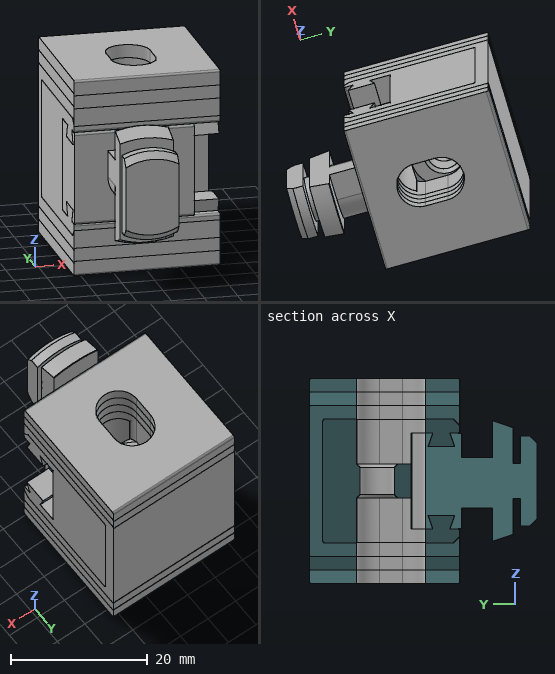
import cadquery as cq
import math

width = 22.0
half_width = width / 2
block_depth = 22.0
layer_thickness = 2.0
edge_radius = 0.3
core_half_height = 9.0
frame_half_height = core_half_height + layer_thickness
inner_plate_half_height = frame_half_height + layer_thickness
outer_plate_half_height = inner_plate_half_height + layer_thickness

core_depth = block_depth - layer_thickness
core_front_chamfer = 1.0
pocket_half_height = 7.0
pocket_depth = 7.1

key_height = 2.0
key_root_width = 2.6
key_tip_width = 4.0
key_center_y = 2.7

slot_width = 6.6
slot_length = 10.0
slot_center_y = 10.05
web_thickness = 5.0
thread_diameter = 4.92
thread_center_y = 12.08
countersink_diameter = 6.0
web_bevel_diameter = 9.9
web_bevel_height = 1.0
web_bevel_angle = math.radians(30)

slide_length = 18.0
slide_back_y = 7.0
slide_front_y = -0.3
pin_center_x = -half_width + slide_length / 2
pin_width = 8.0
flange_back_y = -4.75
flange_rim = 0.1
flange_front_y = -7.8
flange_half_height = 9.0
flange_arc_radius = 13.6
flange_taper = 1.0
neck_diameter = 6.6
head_back_y = -8.8
head_bevel_y = -10.3
head_front_y = -11.3
head_half_height = 6.8
head_arc_radius = 9.4
head_bevel = 1.0


def box(x_range, y_range, z_range):
    """Axis-aligned box between the given pairs of limits."""
    sizes = [high - low for low, high in (x_range, y_range, z_range)]
    return cq.Workplane("XY").box(*sizes, centered=False).translate((x_range[0], y_range[0], z_range[0]))


def full_width_prism(points):
    """Prism along X over the whole block width, from an outline of (y, z) points."""
    return cq.Workplane("YZ", origin=(-half_width, 0, 0)).polyline(points).close().extrude(width)


def rounded_block(half_height):
    """Full-depth block with its four long edges rounded."""
    block = box((-half_width, half_width), (0, block_depth), (-half_height, half_height))
    return block.edges("|X").fillet(edge_radius)


def slot_prism(bottom_z, top_z):
    """Upright prism with the outline of the screw slot."""
    plane = cq.Workplane("XY", origin=(0, slot_center_y, bottom_z))
    return plane.slot2D(slot_length, slot_width, angle=90).extrude(top_z - bottom_z)


def core_envelope():
    """Outside of the core: chamfered at the front, rounded at the back."""
    block = box((-half_width, half_width), (0, core_depth), (-core_half_height, core_half_height))
    block = block.edges("|X and >Y").fillet(edge_radius)
    return block.edges("|X and <Y").chamfer(core_front_chamfer)


def dovetail_key():
    """Upper key, narrow at the pocket wall and wide at its tip."""
    tip_z = pocket_half_height - key_height
    return full_width_prism([
        (key_center_y - key_root_width / 2, pocket_half_height),
        (key_center_y + key_root_width / 2, pocket_half_height),
        (key_center_y + key_tip_width / 2, tip_z),
        (key_center_y - key_tip_width / 2, tip_z),
    ])


def dovetail_keys():
    """Upper key and its mirror image below."""
    upper = dovetail_key()
    return [upper, upper.mirror("XY")]


def plate_pair(outer_half_height, inner_half_height):
    """Two plates, above and below, seated on the rounded block they cover."""
    pair = rounded_block(outer_half_height).cut(rounded_block(inner_half_height))
    return pair.cut(screw_slot)


def thread_cutter():
    """Threaded hole through the web, with a 45 degree countersink at both ends."""
    bore_radius = thread_diameter / 2
    sink_radius = countersink_diameter / 2
    half_web = web_thickness / 2
    straight_end = half_web - (sink_radius - bore_radius)
    profile = [
        (0, -half_web),
        (sink_radius, -half_web),
        (bore_radius, -straight_end),
        (bore_radius, straight_end),
        (sink_radius, half_web),
        (0, half_web),
    ]
    cutter = cq.Workplane("XZ").polyline(profile).close().revolve(360, (0, 0), (0, 1))
    return cutter.translate((0, thread_center_y, 0))


def web_bevel_cutter():
    """Conical bevel on top of the web, around the threaded hole and inside the slot."""
    top_z = web_thickness / 2
    bevel_radius = web_bevel_diameter / 2
    cone_radius = bevel_radius + web_bevel_height / math.tan(web_bevel_angle)
    profile = [
        (0, top_z - web_bevel_height),
        (cone_radius, top_z - web_bevel_height),
        (bevel_radius, top_z),
        (0, top_z),
    ]
    cone = cq.Workplane("XZ").polyline(profile).close().revolve(360, (0, 0), (0, 1))
    cone = cone.translate((0, thread_center_y, 0))
    return slot_prism(top_z - web_bevel_height, top_z).cut(cone)


def make_core():
    """Core with the slide pocket, dovetail keys and threaded web."""
    pocket_z = (-pocket_half_height, pocket_half_height)
    core = core_envelope().cut(box((-half_width, half_width), (0, pocket_depth), pocket_z))
    lip_corners = cq.selectors.BoxSelector(
        (-width, -edge_radius, -pocket_half_height - edge_radius),
        (width, edge_radius, pocket_half_height + edge_radius),
    )
    core = core.edges("|X").edges(lip_corners).fillet(edge_radius)
    for key in dovetail_keys():
        core = core.union(key)
    slot_above_web = slot_prism(web_thickness / 2, core_half_height)
    bevel = web_bevel_cutter()
    for cutter in (slot_above_web, bevel):
        core = core.cut(cutter).cut(cutter.mirror("XY"))
    return core.cut(thread_cutter())


def lens(back_y, half_height, arc_radius):
    """Pin outline: straight sides and arched top and bottom, in the plane y = back_y."""
    half_pin = pin_width / 2
    side_z = half_height - arc_radius + math.sqrt(arc_radius**2 - half_pin**2)
    plane = cq.Workplane("XZ", origin=(pin_center_x, back_y, 0))
    outline = plane.moveTo(-half_pin, -side_z).lineTo(-half_pin, side_z)
    outline = outline.threePointArc((0, half_height), (half_pin, side_z)).lineTo(half_pin, -side_z)
    return outline.threePointArc((0, -half_height), (-half_pin, -side_z)).close()


def lens_disc(back_y, front_y, half_height, arc_radius):
    """Straight disc with the pin outline."""
    return lens(back_y, half_height, arc_radius).extrude(back_y - front_y)


def lens_taper(back_y, front_y, half_height, arc_radius, inset):
    """Lens disc whose arched faces come in by the inset towards the front."""
    back = lens(back_y, half_height, arc_radius).wires().val()
    front = lens(front_y, half_height - inset, arc_radius - inset).wires().val()
    return cq.Workplane(cq.Solid.makeLoft([back, front], True))


def pin_cylinder(diameter, back_y, front_y):
    plane = cq.Workplane("XZ", origin=(pin_center_x, back_y, 0))
    return plane.circle(diameter / 2).extrude(back_y - front_y)


def make_shank():
    """Round shank with two square corners, opposite each other, that stop the quarter turn."""
    half_pin = pin_width / 2
    y_range = (flange_back_y, slide_front_y)
    upper_corner = box((pin_center_x - half_pin, pin_center_x), y_range, (0, half_pin))
    lower_corner = box((pin_center_x, pin_center_x + half_pin), y_range, (-half_pin, 0))
    return pin_cylinder(pin_width, slide_front_y, flange_back_y).union(upper_corner).union(lower_corner)


def make_slide():
    """Slide with dovetail grooves for the keys and clearance for the screw."""
    slide_x = (-half_width, -half_width + slide_length)
    slide = box(slide_x, (slide_front_y, slide_back_y), (-pocket_half_height, pocket_half_height))
    slide = slide.edges("|X and <Y").fillet(edge_radius)
    for key in dovetail_keys():
        slide = slide.cut(key)
    return slide.cut(screw_slot)


def make_pin():
    """Shank, tapered flange, neck and bevelled head, from the slide outwards."""
    taper_back_y = flange_back_y - flange_rim
    pin = make_shank()
    pin = pin.union(lens_disc(flange_back_y, taper_back_y, flange_half_height, flange_arc_radius))
    pin = pin.union(
        lens_taper(taper_back_y, flange_front_y, flange_half_height, flange_arc_radius, flange_taper)
    )
    pin = pin.union(pin_cylinder(neck_diameter, flange_front_y, head_back_y))
    pin = pin.union(lens_disc(head_back_y, head_bevel_y, head_half_height, head_arc_radius))
    return pin.union(
        lens_taper(head_bevel_y, head_front_y, head_half_height, head_arc_radius, head_bevel)
    )


screw_slot = slot_prism(-outer_plate_half_height, outer_plate_half_height)

outer_plates = plate_pair(outer_plate_half_height, inner_plate_half_height)
inner_plates = plate_pair(inner_plate_half_height, frame_half_height)
frame = rounded_block(frame_half_height).cut(core_envelope()).cut(screw_slot)
core = make_core()
slide_with_pin = make_slide().union(make_pin())

result = cq.Compound.makeCompound([
    *outer_plates.solids().vals(),
    *inner_plates.solids().vals(),
    frame.val(),
    core.val(),
    slide_with_pin.val(),
])